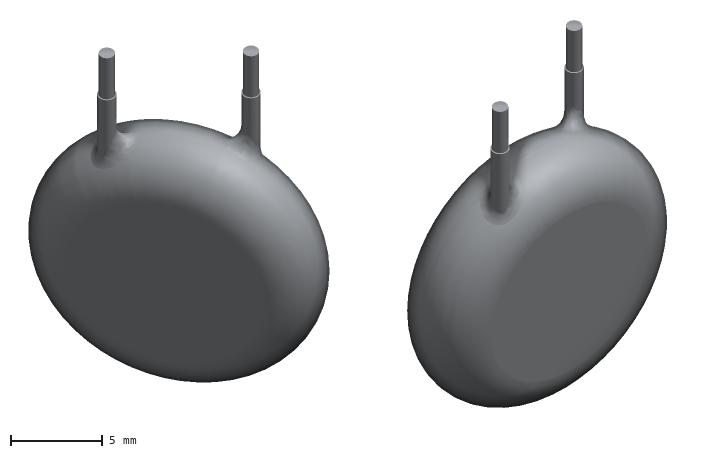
import cadquery as cq
import math

disc_diameter = 17.0
disc_thickness = 5.6
rim_radius = disc_thickness / 2
flat_radius = disc_diameter / 2 - rim_radius

overall_height = 23.0
bare_length = 3.0
bare_diameter = 0.9
coated_diameter = 1.05
lead_offset_x = 3.75
lead_offset_y = 1.25
lead_root_z = 4.6
meniscus_radius = 1.0

lead_top_z = overall_height - disc_diameter / 2
coating_top_z = lead_top_z - bare_length
lead_places = [(-lead_offset_x, -lead_offset_y), (lead_offset_x, lead_offset_y)]


def make_disc():
    """Revolve the half section about Y; the rim is two quarter arcs meeting at its crest."""
    rim_diagonal = rim_radius * math.sqrt(0.5)
    crest = (flat_radius + rim_radius, 0)
    return (
        cq.Workplane("XY")
        .moveTo(0, -rim_radius)
        .lineTo(flat_radius, -rim_radius)
        .threePointArc((flat_radius + rim_diagonal, -rim_diagonal), crest)
        .threePointArc((flat_radius + rim_diagonal, rim_diagonal), (flat_radius, rim_radius))
        .lineTo(0, rim_radius)
        .close()
        .revolve(360, (0, 0, 0), (0, 1, 0))
    )


def make_rods(diameter, bottom_z, top_z):
    """Vertical round rods, one at each lead position."""
    return (
        cq.Workplane("XY", origin=(0, 0, bottom_z))
        .pushPoints(lead_places)
        .circle(diameter / 2)
        .extrude(top_z - bottom_z)
    )


def blend_leads(body):
    """Fillet the curved joints where the coated leads leave the rim."""
    reach_x = lead_offset_x + coated_diameter
    reach_y = lead_offset_y + coated_diameter
    joint_zone = cq.selectors.BoxSelector(
        (-reach_x, -reach_y, lead_root_z),
        (reach_x, reach_y, disc_diameter / 2),
    )
    return body.edges("%BSPLINE or %OTHER").edges(joint_zone).fillet(meniscus_radius)


body = make_disc().union(make_rods(coated_diameter, lead_root_z, coating_top_z))
body = blend_leads(body)
result = body.union(make_rods(bare_diameter, coating_top_z, lead_top_z))